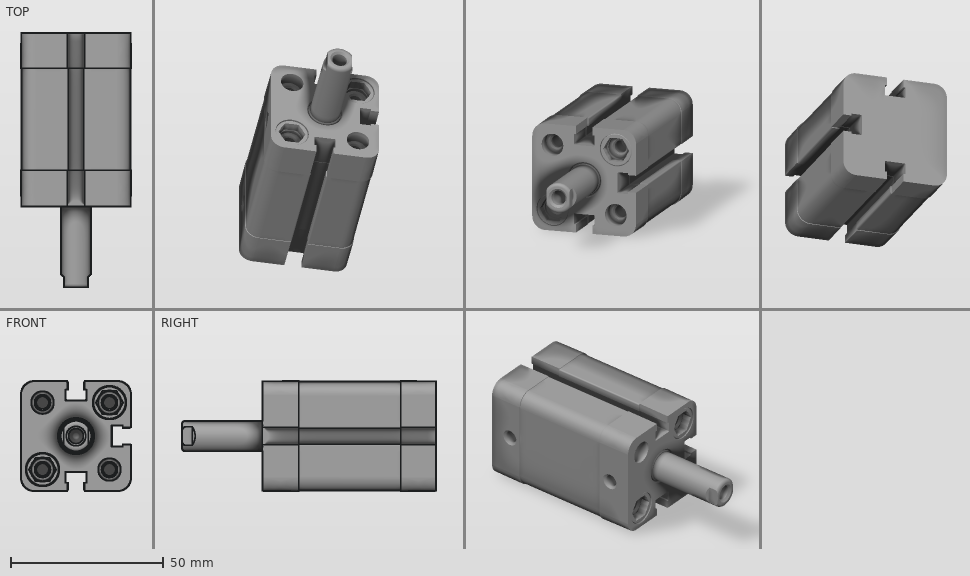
import cadquery as cq
import math


front_cap_length = 11.9
barrel_length = 33.5
rear_cap_length = 11.7
rod_protrusion = 26.5
barrel_front = front_cap_length
barrel_back = barrel_front + barrel_length
rear_face = barrel_back + rear_cap_length

cap_outer_width = 36.08
cap_joint_width = 36.3
cap_corner_radius = 4.4
barrel_width = 35.9
barrel_corner_radius = 4.6

cap_slot_opening = 5.75
cap_slot_width = 7.1
cap_slot_floor = 11.65
barrel_slot_opening = 5.25
barrel_slot_width = 6.7
barrel_slot_floor = 11.85
slot_lip_bottom = 15.3
slot_floor_fillet = 0.3
barrel_lip_fillet = 0.5
slot_angles = (0, 90, 180)

corner_offset = 11.0
corner_hole_depth = 4.5
mounting_hole_diameter = 7.5
screw_bore_diameter = 7.55
hex_corner_diameter = 9.0
hex_relief_diameter = 8.0
hex_depth = 3.0
head_gap_diameter = 11.1
head_diameter = 10.9
head_rim_diameter = 10.48
head_inset = 0.3
head_gap_depth = 0.5
corner_thread_diameter = 4.13
corner_thread_mouth = 5.25

port_diameter = 4.13
port_mouth_diameter = 5.5
port_depth = 7.0
port_end_distance = 7.55
passage_height = 2.8
passage_depth = 5.5

rod_diameter = 10.0
rod_tip_fillet = 1.1
flat_width = 8.0
flat_length = 3.4
rod_thread_diameter = 4.92
rod_thread_mouth = 6.4
rod_thread_depth = 12.0
drill_point_angle = 118.0
wiper_mouth_diameter = 12.0
wiper_gap_diameter = 11.4
wiper_diameter = 10.9
wiper_rim_diameter = 10.48
wiper_gap_depth = 1.0


def xz_plane(y):
    """Workplane across the rod axis at y, extruding toward +Y, with local X = X and local Y = -Z."""
    return cq.Workplane(cq.Plane(origin=(0, y, 0), xDir=(1, 0, 0), normal=(0, 1, 0)))


def disc(diameter, y, length, x=0, z=0):
    """Cylinder along +Y starting at y."""
    return xz_plane(y).center(x, -z).circle(diameter / 2).extrude(length)


def cone(start, direction, start_diameter, end_diameter, length):
    """Truncated cone along the given direction."""
    solid = cq.Solid.makeCone(
        start_diameter / 2, end_diameter / 2, length, cq.Vector(*start), cq.Vector(*direction)
    )
    return cq.Workplane(solid)


def rounded_square(width, corner_radius):
    """Rounded square outline centred on the rod axis."""
    return cq.Sketch().rect(width, width).vertices().fillet(corner_radius)


def t_slot(opening, width, floor, y, length):
    """T-slot cutter on the +Z side, reaching past the outside of the body."""
    channel = (
        cq.Workplane("XY")
        .box(width, length, slot_lip_bottom - floor, centered=(True, False, False))
        .edges("|Y and <Z")
        .fillet(slot_floor_fillet)
    )
    mouth = cq.Workplane("XY").box(
        opening, length, cap_joint_width / 2 - floor, centered=(True, False, False)
    )
    return channel.union(mouth).translate((0, y, floor))


def cut_slots(body, opening, width, floor, y, length):
    """Cut the T-slots of all three slotted sides."""
    for angle in slot_angles:
        slot = t_slot(opening, width, floor, y, length)
        body = body.cut(slot.rotate((0, 0, 0), (0, 1, 0), angle))
    return body


def cap_block(length):
    """Drafted cap with its narrow end at Y = 0 and its slots, without holes."""
    growth = (cap_joint_width - cap_outer_width) / 2
    draft = math.degrees(math.atan(growth / length))
    outline = rounded_square(cap_outer_width, cap_corner_radius)
    block = xz_plane(0).placeSketch(outline).extrude(length, taper=-draft)
    return cut_slots(block, cap_slot_opening, cap_slot_width, cap_slot_floor, 0, length)


def port(y, passage_length):
    """Chamfered threaded port from -X with a flat passage leading inward from its floor."""
    outside = -cap_joint_width / 2
    cap_side = -cap_outer_width / 2
    port_floor = cap_side + port_depth
    mouth_depth = (port_mouth_diameter - port_diameter) / 2
    outer_plane = cq.Workplane("YZ", origin=(outside, y, 0))
    rim = outer_plane.circle(port_mouth_diameter / 2).extrude(cap_side - outside)
    hole = outer_plane.circle(port_diameter / 2).extrude(port_floor - outside)
    mouth = cone((cap_side, y, 0), (1, 0, 0), port_mouth_diameter, port_diameter, mouth_depth)
    floor_plane = cq.Workplane("YZ", origin=(port_floor, y, 0))
    strip = floor_plane.rect(port_diameter, passage_height).extrude(passage_length)
    passage = floor_plane.circle(port_diameter / 2).extrude(passage_length).intersect(strip)
    return hole.union(mouth).union(rim).union(passage)


def ring_groove(gap_diameter, boss_diameter, rim_diameter, depth, y=0, x=0, z=0):
    """Narrow groove, starting at y, around a round boss whose rim is chamfered at 45 degrees."""
    chamfer = (boss_diameter - rim_diameter) / 2
    boss = disc(boss_diameter, y + chamfer, depth - chamfer, x, z)
    boss_rim = cone((x, y, z), (0, 1, 0), rim_diameter, boss_diameter, chamfer)
    return disc(gap_diameter, y, depth, x, z).cut(boss).cut(boss_rim)


def screw_head(x, z):
    """Cutter for an inset screw head: ring groove, relieved hexagon socket and a bore below it."""
    inset = disc(head_gap_diameter, 0, head_inset, x, z)
    groove = ring_groove(
        head_gap_diameter, head_diameter, head_rim_diameter, head_gap_depth, head_inset, x, z
    )
    socket_depth = head_inset + hex_depth
    hexagon = xz_plane(0).center(x, -z).polygon(6, hex_corner_diameter).extrude(socket_depth)
    relief = disc(hex_relief_diameter, 0, socket_depth, x, z)
    bore = disc(screw_bore_diameter, 0, corner_hole_depth, x, z)
    return hexagon.union(relief).union(bore).union(inset).union(groove)


def corner_thread(x, z):
    """Countersunk threaded hole from the floor of a corner hole to the back of the front cap."""
    mouth_depth = (corner_thread_mouth - corner_thread_diameter) / 2
    hole = disc(corner_thread_diameter, 0, front_cap_length, x, z)
    mouth = cone(
        (x, corner_hole_depth, z), (0, 1, 0), corner_thread_mouth, corner_thread_diameter, mouth_depth
    )
    return hole.union(mouth)


def make_front_cap():
    """Cap with screw heads on one diagonal, mounting holes on the other, rod guide and port."""
    body = cap_block(front_cap_length)
    for offset in (corner_offset, -corner_offset):
        body = body.cut(screw_head(offset, offset))
        body = body.cut(corner_thread(offset, offset))
        body = body.cut(disc(mounting_hole_diameter, 0, corner_hole_depth, -offset, offset))
        body = body.cut(corner_thread(-offset, offset))
    body = body.cut(disc(rod_diameter, 0, front_cap_length))
    body = body.cut(ring_groove(wiper_gap_diameter, wiper_diameter, wiper_rim_diameter, wiper_gap_depth))
    mouth_depth = (wiper_mouth_diameter - wiper_gap_diameter) / 2
    mouth = cone((0, 0, 0), (0, 1, 0), wiper_mouth_diameter, wiper_gap_diameter, mouth_depth)
    body = body.cut(mouth.cut(disc(wiper_gap_diameter, 0, mouth_depth)))
    to_rod_bore = cap_outer_width / 2 - port_depth
    return body.cut(port(port_end_distance, to_rod_bore))


def make_barrel():
    """Slotted barrel with rounded slot lips."""
    outline = rounded_square(barrel_width, barrel_corner_radius)
    body = xz_plane(barrel_front).placeSketch(outline).extrude(barrel_length)
    body = cut_slots(
        body, barrel_slot_opening, barrel_slot_width, barrel_slot_floor, barrel_front, barrel_length
    )
    half_width = barrel_width / 2
    half_opening = barrel_slot_opening / 2
    middle = barrel_front + barrel_length / 2
    for side in (1, -1):
        for point in (
            (half_width, middle, side * half_opening),
            (side * half_opening, middle, half_width),
            (side * half_opening, middle, -half_width),
        ):
            body = body.edges(cq.selectors.NearestToPointSelector(point)).fillet(barrel_lip_fillet)
    return body


def make_rear_cap():
    """Mirror image of the plain cap block, with a port."""
    body = cap_block(rear_cap_length).mirror("XZ").translate((0, rear_face, 0))
    return body.cut(port(rear_face - port_end_distance, passage_depth))


def make_rod():
    """Rod with a rounded tip, two wrench flats and a threaded hole with a drill point."""
    tip = -rod_protrusion
    body = disc(rod_diameter, tip, rod_protrusion + front_cap_length)
    body = body.faces("<Y").edges().fillet(rod_tip_fillet)
    half_flat = flat_width / 2
    flat_end = tip + flat_length
    flat_outline = (
        cq.Workplane("XY")
        .moveTo(half_flat, tip)
        .lineTo(half_flat, flat_end)
        .lineTo(half_flat + rod_diameter, flat_end + rod_diameter)
        .lineTo(half_flat + rod_diameter, tip)
        .close()
    )
    flat = flat_outline.extrude(rod_diameter / 2, both=True)
    body = body.cut(flat).cut(flat.mirror("YZ"))
    mouth_depth = (rod_thread_mouth - rod_thread_diameter) / 2
    point_length = rod_thread_diameter / 2 / math.tan(math.radians(drill_point_angle / 2))
    body = body.cut(disc(rod_thread_diameter, tip, rod_thread_depth))
    body = body.cut(cone((0, tip, 0), (0, 1, 0), rod_thread_mouth, rod_thread_diameter, mouth_depth))
    return body.cut(cone((0, tip + rod_thread_depth, 0), (0, 1, 0), rod_thread_diameter, 0, point_length))


front_cap = make_front_cap()
barrel = make_barrel()
rear_cap = make_rear_cap()
rod = make_rod()

result = cq.Compound.makeCompound([front_cap.val(), barrel.val(), rear_cap.val(), rod.val()])